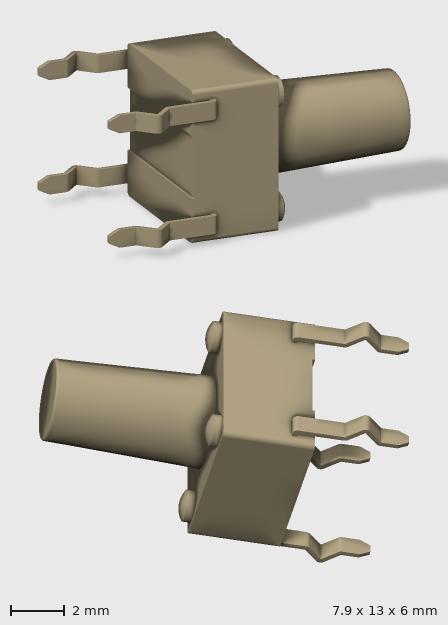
import cadquery as cq
import math

total_length = 13.0
button_length = 6.0
lead_reach = 3.5

housing_side = 6.0
housing_depth = total_length - button_length - lead_reach
housing_corner_radius = 0.17
groove_width = 2.46
groove_depth = 0.1

stud_spacing = 4.5
stud_radius = 0.6
stud_straight_height = 0.3
stud_dome_height = 0.2

button_base_radius = 1.75
button_tip_radius = 1.55
button_tip_fillet = 0.09

span_across_leads = 7.9
lead_thickness = 0.2
lead_width = 0.7
lead_spacing = 4.5
lead_pitch = 6.5
lead_exit_y = 0.9
kink_y = -1.74
tip_length = 0.4
tip_end_width = 0.3


def corner_points(spacing):
    """The four corners of a centred square."""
    half = spacing / 2
    return [(x, z) for x in (-half, half) for z in (-half, half)]


def make_stud(x, z):
    """Round stud with a domed end, standing on the housing's button face."""
    full_height = stud_straight_height + stud_dome_height
    dome_radius = (stud_radius**2 + stud_dome_height**2) / (2 * stud_dome_height)
    mid_x = stud_radius / 2
    mid_y = full_height - dome_radius + math.sqrt(dome_radius**2 - mid_x**2)
    half_profile = (
        cq.Workplane("XY")
        .lineTo(stud_radius, 0)
        .lineTo(stud_radius, stud_straight_height)
        .threePointArc((mid_x, mid_y), (0, full_height))
        .close()
    )
    stud = half_profile.revolve(360, (0, 0, 0), (0, 1, 0))
    return stud.translate((x, housing_depth, z))


def make_housing():
    """Square block with a shallow groove across its mounting face and four studs."""
    block = (
        cq.Workplane("XY")
        .box(housing_side, housing_depth, housing_side, centered=(True, False, True))
        .edges("|Y")
        .fillet(housing_corner_radius)
    )
    groove = cq.Workplane("XY").box(
        housing_side, groove_depth, groove_width, centered=(True, False, True)
    )
    housing = block.cut(groove)
    for x, z in corner_points(stud_spacing):
        housing = housing.union(make_stud(x, z))
    return housing


def make_button():
    """Tapered round button with a softened tip edge, standing on the housing."""
    half_profile = (
        cq.Workplane("XY")
        .moveTo(0, housing_depth)
        .lineTo(button_base_radius, housing_depth)
        .lineTo(button_tip_radius, housing_depth + button_length)
        .lineTo(0, housing_depth + button_length)
        .close()
    )
    button = half_profile.revolve(360, (0, 0, 0), (0, 1, 0))
    return button.faces(">Y").edges().fillet(button_tip_fillet)


def make_right_lead():
    """Lead on the +X side, centred on Z = 0.

    Every bend is sharp inside and rounded outside by the sheet thickness, so
    each arc is centred on the inner corner of its bend. The kink runs at 45 degrees.
    """
    inner_x = (lead_pitch - lead_thickness) / 2
    outer_x = inner_x + lead_thickness
    kink_outer_x = span_across_leads / 2
    kink_inner_x = kink_outer_x - lead_thickness
    diagonal = lead_thickness * math.sqrt(0.5)
    arc_mid_x = lead_thickness * math.cos(math.pi / 8)
    arc_mid_y = lead_thickness * math.sin(math.pi / 8)

    outer_rise = kink_inner_x + 2 * diagonal - outer_x
    inner_rise = outer_rise + diagonal
    upper_bend_y = kink_y + outer_rise
    lower_bend_y = kink_y - outer_rise
    exit_inner_y = lead_exit_y - lead_thickness

    profile = (
        cq.Workplane("XY")
        .moveTo(housing_side / 2, lead_exit_y)
        .lineTo(inner_x, lead_exit_y)
        .threePointArc((inner_x + diagonal, exit_inner_y + diagonal), (outer_x, exit_inner_y))
        .lineTo(outer_x, upper_bend_y)
        .lineTo(kink_inner_x + diagonal, kink_y + diagonal)
        .threePointArc((kink_outer_x, kink_y), (kink_inner_x + diagonal, kink_y - diagonal))
        .lineTo(outer_x, lower_bend_y)
        .lineTo(outer_x, -lead_reach)
        .lineTo(inner_x, -lead_reach)
        .lineTo(inner_x, lower_bend_y)
        .threePointArc(
            (outer_x - arc_mid_x, lower_bend_y + arc_mid_y),
            (outer_x - diagonal, kink_y - outer_rise + diagonal),
        )
        .lineTo(kink_inner_x, kink_y)
        .lineTo(outer_x - diagonal, upper_bend_y - diagonal)
        .threePointArc((outer_x - arc_mid_x, upper_bend_y - arc_mid_y), (inner_x, upper_bend_y))
        .lineTo(inner_x, exit_inner_y)
        .lineTo(housing_side / 2, exit_inner_y)
        .close()
    )
    strip = profile.extrude(lead_width / 2, both=True)

    half_width = lead_width / 2
    half_tip = tip_end_width / 2
    taper_start_y = tip_length - lead_reach
    outline = (
        cq.Workplane("YZ")
        .polyline(
            [
                (lead_exit_y, -half_width),
                (lead_exit_y, half_width),
                (taper_start_y, half_width),
                (-lead_reach, half_tip),
                (-lead_reach, -half_tip),
                (taper_start_y, -half_width),
            ]
        )
        .close()
        .extrude(span_across_leads)
    )
    return strip.intersect(outline)


def make_leads():
    """Four leads, mirrored left and right and repeated at two heights."""
    right_lead = make_right_lead()
    leads = []
    for side_lead in (right_lead, right_lead.mirror("YZ")):
        for z in (-lead_spacing / 2, lead_spacing / 2):
            leads.append(side_lead.translate((0, 0, z)).val())
    return leads


housing = make_housing()
button = make_button()
leads = make_leads()

result = cq.Compound.makeCompound([housing.val(), button.val(), *leads])